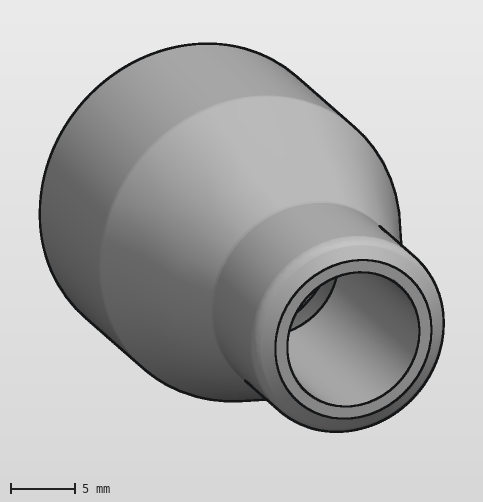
import cadquery as cq
import math

length = 38.0
large_outer_radius = 25.0 / 2
large_bore_radius = 19.0 / 2
small_outer_radius = 16.0 / 2
small_bore_radius = 11.0 / 2
outer_cone_start = 15.0
outer_cone_end = 28.0
bore_cone_start = 10.0
bore_cone_end = 20.0

land_width = 1.0
bevel_angle = math.radians(30.0)
blend_radius = 1.0
mouth_chamfer = 0.25


def bevel_depth(outer_radius, bore_radius):
    """Axial depth of the weld bevel for the given wall."""
    return (outer_radius - bore_radius - land_width) * math.tan(bevel_angle)


def revolve_profile(points):
    """Solid of revolution about the X axis from (x, radius) points."""
    return cq.Workplane("XY").polyline(points).close().revolve(360, (0, 0, 0), (1, 0, 0))


def outer_body():
    """Outside shape, with every circular edge but the two end edges rounded."""
    large_bevel = bevel_depth(large_outer_radius, large_bore_radius)
    small_bevel = bevel_depth(small_outer_radius, small_bore_radius)
    body = revolve_profile([
        (0, 0),
        (0, large_bore_radius + land_width),
        (large_bevel, large_outer_radius),
        (outer_cone_start, large_outer_radius),
        (outer_cone_end, small_outer_radius),
        (length - small_bevel, small_outer_radius),
        (length, small_bore_radius + land_width),
        (length, 0),
    ])
    between_ends = cq.selectors.BoxSelector(
        (large_bevel / 2, -length, -length),
        (length - small_bevel / 2, length, length),
    )
    return body.edges("%CIRCLE").edges(between_ends).fillet(blend_radius)


def bore():
    """Two straight bores joined by a cone, with a small chamfer at the large mouth."""
    return revolve_profile([
        (0, 0),
        (0, large_bore_radius + mouth_chamfer),
        (mouth_chamfer, large_bore_radius),
        (bore_cone_start, large_bore_radius),
        (bore_cone_end, small_bore_radius),
        (length, small_bore_radius),
        (length, 0),
    ])


result = outer_body().cut(bore())